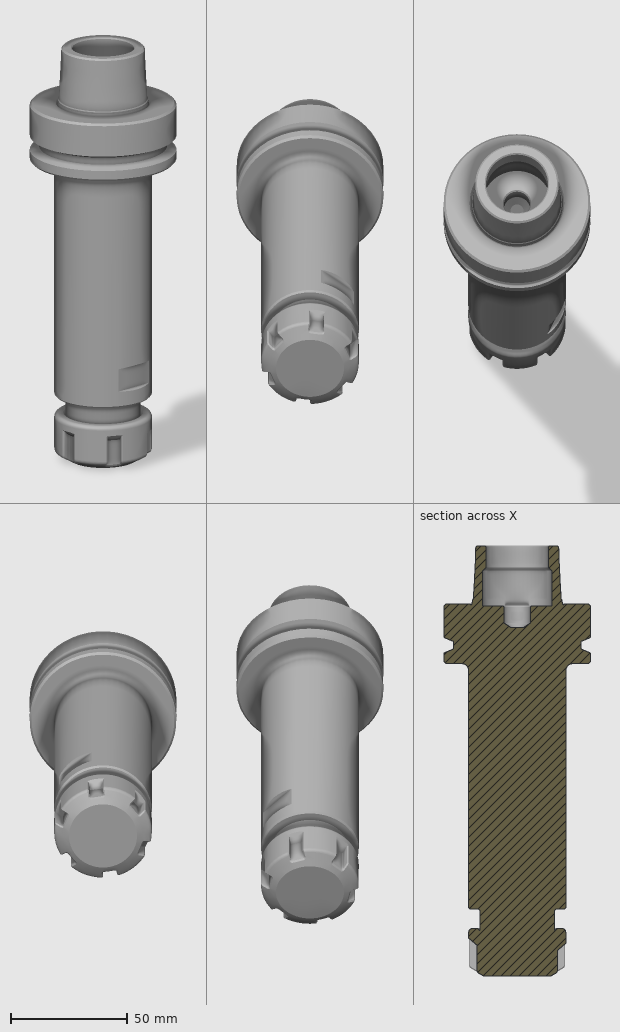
import cadquery as cq
import math

total_height = 185.0
nut_top = 20.5
shank_bottom = 28.7
flange_bottom = 134.1
flange_top = 160.0

nut_radius = 42.0 / 2
neck_radius = 16.1
shank_radius = nut_radius
flange_radius = 63.0 / 2

nut_face_radius = 14.6
nut_cone_angle = 30.0
nut_cone_blend = 1.8
nut_top_fillet = 1.8
nut_bore_chamfer = 1.0

shank_chamfer = 0.7
neck_fillet = 0.5
flange_root_fillet = 2.8

flange_chamfer = 1.0
groove_radius = 27.5
groove_floor_bottom = 140.6
groove_floor_top = 143.7
groove_wall_rise = 1.7

taper_top_radius = 18.0
taper_bottom_radius = 19.0
taper_bottom = 161.9
taper_chamfer = 0.7
relief_inner_radius = 19.5
relief_floor_radius = 19.8
relief_outer_radius = 20.4
relief_depth = 0.5
relief_flare_top = 160.8

mouth_radius = 13.3
mouth_chamfer = 0.5
mouth_depth = 9.5
chamber_radius = 14.8
bore_depth = 25.9

centre_hole_radius = 5.5
centre_hole_chamfer = 0.5
centre_hole_depth = 7.4
centre_cone_tip_radius = 2.8
centre_cone_depth = 1.8

flat_distance = 38.0 / 2
flat_bottom = 36.0
flat_top = 46.0
flat_end_rise = 0.5

slot_count = 6
first_slot_angle = 30
slot_width = 6.1
slot_floor_radius = 17.4
slot_edge_chamfer = 0.5
slot_floor_fillet = 0.5
slot_ceiling_slope = 40.0
tall_slot_top = 16.3
short_slot_top = 14.0
slot_overrun = 1.8

touch_tolerance = 0.002


def turned_body():
    """Solid of revolution for the nut, neck, shank, flange and taper."""
    cone_height = (nut_radius - nut_face_radius) * math.tan(math.radians(nut_cone_angle))
    root_radius = shank_radius + flange_root_fillet
    root_bottom = flange_bottom - flange_root_fillet
    arc_near = 1 - math.cos(math.radians(45))
    shoulder_offset = nut_top_fillet * arc_near
    nut_shoulder = (nut_radius - shoulder_offset, nut_top - shoulder_offset)
    root_offset = flange_root_fillet * arc_near
    root_middle = (shank_radius + root_offset, flange_bottom - root_offset)
    profile = (
        cq.Workplane("XZ")
        .lineTo(nut_face_radius, 0)
        .lineTo(nut_radius, cone_height)
        .lineTo(nut_radius, nut_top - nut_top_fillet)
        .threePointArc(nut_shoulder, (nut_radius - nut_top_fillet, nut_top))
        .lineTo(neck_radius + nut_bore_chamfer, nut_top)
        .lineTo(neck_radius, nut_top - nut_bore_chamfer)
        .lineTo(neck_radius, shank_bottom - neck_fillet)
        .lineTo(neck_radius + neck_fillet, shank_bottom)
        .lineTo(shank_radius - shank_chamfer, shank_bottom)
        .lineTo(shank_radius, shank_bottom + shank_chamfer)
        .lineTo(shank_radius, root_bottom)
        .threePointArc(root_middle, (root_radius, flange_bottom))
        .lineTo(flange_radius - flange_chamfer, flange_bottom)
        .lineTo(flange_radius, flange_bottom + flange_chamfer)
        .lineTo(flange_radius, groove_floor_bottom - groove_wall_rise)
        .lineTo(groove_radius, groove_floor_bottom)
        .lineTo(groove_radius, groove_floor_top)
        .lineTo(flange_radius, groove_floor_top + groove_wall_rise)
        .lineTo(flange_radius, flange_top - flange_chamfer)
        .lineTo(flange_radius - flange_chamfer, flange_top)
        .lineTo(relief_outer_radius, flange_top)
        .lineTo(relief_floor_radius, flange_top - relief_depth)
        .lineTo(relief_inner_radius, relief_flare_top)
        .lineTo(relief_inner_radius, taper_bottom - (relief_inner_radius - taper_bottom_radius))
        .lineTo(taper_bottom_radius, taper_bottom)
        .lineTo(taper_top_radius, total_height - taper_chamfer)
        .lineTo(taper_top_radius - taper_chamfer, total_height)
        .lineTo(0, total_height)
        .close()
    )
    body = profile.revolve(360, (0, 0, 0), (0, 1, 0))
    cone_edge = cq.selectors.NearestToPointSelector((0, 0, cone_height))
    return body.edges("%CIRCLE").edges(cone_edge).fillet(nut_cone_blend)


def bore():
    """Stepped bore with a coned centre hole in its floor."""
    mouth_bottom = total_height - mouth_depth
    floor = total_height - bore_depth
    hole_bottom = floor - centre_hole_depth
    return (
        cq.Workplane("XZ")
        .moveTo(0, total_height)
        .lineTo(mouth_radius + mouth_chamfer, total_height)
        .lineTo(mouth_radius, total_height - mouth_chamfer)
        .lineTo(mouth_radius, mouth_bottom)
        .lineTo(chamber_radius, mouth_bottom - (chamber_radius - mouth_radius))
        .lineTo(chamber_radius, floor)
        .lineTo(centre_hole_radius + centre_hole_chamfer, floor)
        .lineTo(centre_hole_radius, floor - centre_hole_chamfer)
        .lineTo(centre_hole_radius, hole_bottom)
        .lineTo(centre_cone_tip_radius, hole_bottom - centre_cone_depth)
        .lineTo(0, hole_bottom - centre_cone_depth)
        .close()
        .revolve(360, (0, 0, 0), (0, 1, 0))
    )


def wrench_flat(side):
    """Notch with sloped ends that leaves a flat on the +X (1) or -X (-1) side."""
    return (
        cq.Workplane("XZ")
        .polyline([
            (side * flat_distance, flat_bottom),
            (side * shank_radius, flat_bottom - flat_end_rise),
            (side * shank_radius, flat_top + flat_end_rise),
            (side * flat_distance, flat_top),
        ])
        .close()
        .extrude(shank_radius, both=True)
    )


def spanner_slot(angle, top):
    """Open-bottomed slot in the nut, with a ceiling that slopes down towards its floor."""
    below_nut = -slot_overrun
    outside_nut = nut_radius + slot_overrun
    rise = math.tan(math.radians(slot_ceiling_slope))
    cut = (
        cq.Workplane("XZ")
        .polyline([
            (slot_floor_radius, below_nut),
            (outside_nut, below_nut),
            (outside_nut, top + rise * (outside_nut - nut_radius)),
            (slot_floor_radius, top - rise * (nut_radius - slot_floor_radius)),
        ])
        .close()
        .extrude(slot_width / 2, both=True)
    )
    cut = cut.edges("<X and |Z").fillet(slot_floor_fillet)
    return cut.rotate((0, 0, 0), (0, 0, 1), angle)


def touches(shape, point):
    """True if the point lies on the surface of the shape."""
    return shape.distance(cq.Vertex.makeVertex(*point.toTuple())) < touch_tolerance


def cut_spanner_slots(body):
    """Cut all slots, then chamfer their side and bottom edges on the outside of the nut."""
    outside = body.val().Shells()[0]
    slotted = body
    slots = []
    for index in range(slot_count):
        angle = first_slot_angle + index * 360 / slot_count
        top = short_slot_top if angle < 180 else tall_slot_top
        slot = spanner_slot(angle, top)
        slotted = slotted.cut(slot)
        slots.append(slot.val().Shells()[0])
    rim = []
    for edge in slotted.edges().vals():
        middle = edge.positionAt(0.5)
        below_ceiling = middle.z < short_slot_top - slot_edge_chamfer
        on_slot = any(touches(slot, middle) for slot in slots)
        if below_ceiling and on_slot and touches(outside, middle):
            rim.append(edge)
    return slotted.newObject(rim).chamfer(slot_edge_chamfer)


result = cut_spanner_slots(turned_body())

for side in (1, -1):
    result = result.cut(wrench_flat(side))

result = result.cut(bore())